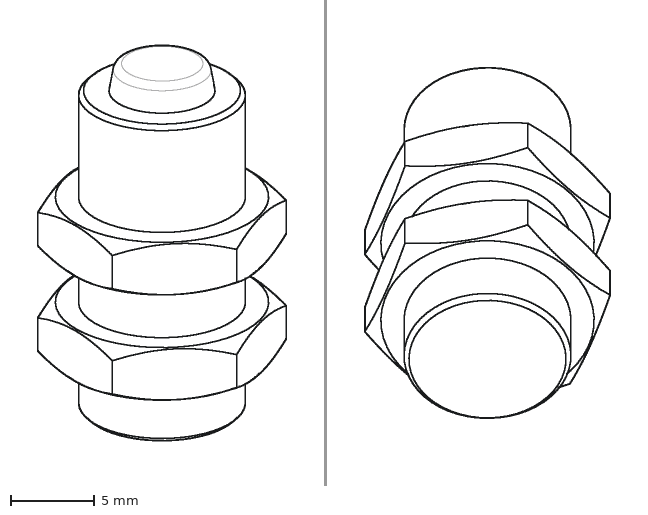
import cadquery as cq
import math

HOUSING_DIAMETER = 10.0
HOUSING_HEIGHT = 21.0
HOUSING_CHAMFER = 0.3

TOTAL_HEIGHT = 22.8
NOSE_BASE_DIAMETER = 6.35
NOSE_TAPER_ANGLE = 10.0
NOSE_FILLET = 0.5
NOSE_HEIGHT = TOTAL_HEIGHT - HOUSING_HEIGHT

NUT_ACROSS_FLATS = 13.0
NUT_ACROSS_CORNERS = NUT_ACROSS_FLATS / math.cos(math.radians(30))
NUT_HEIGHT = 3.49
NUT_FACE_DIAMETER = 12.8
NUT_CHAMFER_ANGLE = 30.0
NUT_BASES = [NUT_HEIGHT, 3 * NUT_HEIGHT]


def make_housing():
    """Chamfered cylinder with a rounded, tapered nose."""
    barrel = (
        cq.Workplane("XY")
        .circle(HOUSING_DIAMETER / 2)
        .extrude(HOUSING_HEIGHT)
        .faces("<Z or >Z")
        .edges()
        .chamfer(HOUSING_CHAMFER)
    )
    nose = (
        cq.Workplane("XY")
        .workplane(offset=HOUSING_HEIGHT)
        .circle(NOSE_BASE_DIAMETER / 2)
        .extrude(NOSE_HEIGHT, taper=NOSE_TAPER_ANGLE)
        .faces(">Z")
        .edges()
        .fillet(NOSE_FILLET)
    )
    return barrel.union(nose)


def make_nut(base):
    """Hexagon nut with conically chamfered corners and a bore that fits the housing."""
    hexagon = (
        cq.Workplane("XY")
        .polygon(6, NUT_ACROSS_CORNERS)
        .extrude(NUT_HEIGHT)
        .rotate((0, 0, 0), (0, 0, 1), 90)
    )
    face_radius = NUT_FACE_DIAMETER / 2
    corner_radius = NUT_ACROSS_CORNERS / 2
    corner_drop = (corner_radius - face_radius) * math.tan(math.radians(NUT_CHAMFER_ANGLE))
    envelope = (
        cq.Workplane("XZ")
        .moveTo(0, 0)
        .lineTo(face_radius, 0)
        .lineTo(corner_radius, corner_drop)
        .lineTo(corner_radius, NUT_HEIGHT - corner_drop)
        .lineTo(face_radius, NUT_HEIGHT)
        .lineTo(0, NUT_HEIGHT)
        .close()
        .revolve(360, (0, 0, 0), (0, 1, 0))
    )
    bore = cq.Workplane("XY").circle(HOUSING_DIAMETER / 2).extrude(NUT_HEIGHT)
    return hexagon.intersect(envelope).cut(bore).translate((0, 0, base))


housing = make_housing()
nuts = [make_nut(base) for base in NUT_BASES]

result = cq.Compound.makeCompound([housing.val(), *[nut.val() for nut in nuts]])